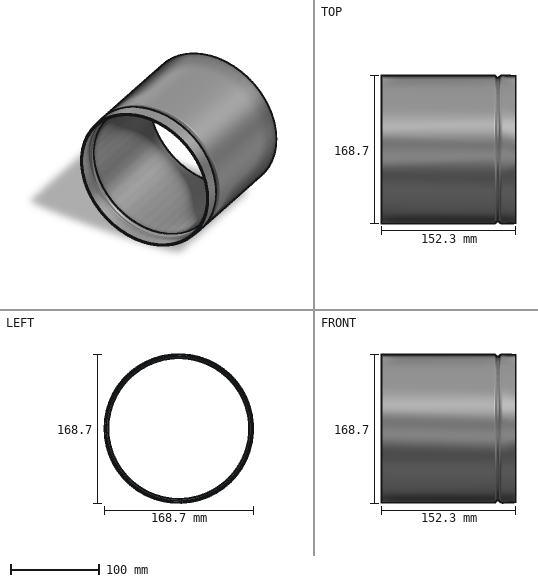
import cadquery as cq
import math

length = 152.3
wall = 2.0
tube_radius = 168.3 / 2
lip_radius = 168.7 / 2
lip_end_radius = 167.3 / 2
groove_radius = 163.3 / 2

tube_shoulder_x = 127.5
lip_shoulder_x = 137.1
tube_flank_angle = math.radians(50)
tube_shoulder_bend = 2.0
tube_root_bend = 0.8
lip_flank_width = 4.9
lip_root_bend = 1.7

tube_bend_total = tube_shoulder_bend + tube_root_bend
tube_bend_drop = tube_bend_total * (1 - math.cos(tube_flank_angle))
tube_straight_drop = tube_radius - groove_radius - tube_bend_drop
tube_straight_width = tube_straight_drop / math.tan(tube_flank_angle)
tube_flank_width = tube_bend_total * math.sin(tube_flank_angle) + tube_straight_width

lip_flank_height = lip_radius - groove_radius
lip_flank_angle = 2 * math.atan2(lip_flank_height, lip_flank_width)
lip_shoulder_bend = lip_flank_width / math.sin(lip_flank_angle) - lip_root_bend


def add_bend(profile, centre, bend_radius, start, end, starts_here=False):
    """Run straight to the start of a bend, unless the profile already starts here, and follow its arc.

    The centre is (x, radius from the tube axis). Angles turn from the outward radial direction toward +X.
    """
    first, middle, last = [
        (centre[0] + bend_radius * math.sin(angle), centre[1] + bend_radius * math.cos(angle))
        for angle in (start, (start + end) / 2, end)
    ]
    if not starts_here:
        profile = profile.lineTo(*first)
    return profile.threePointArc(middle, last)


def revolved_body(depth):
    """Solid bounded by the wall surface lying at the given depth below the outside of the tube."""
    profile = cq.Workplane("XY").lineTo(0, tube_radius - depth)

    shoulder_x = tube_shoulder_x - depth * math.tan(tube_flank_angle / 2)
    shoulder_centre = (shoulder_x, tube_radius - depth - tube_shoulder_bend)
    root_centre = (shoulder_x + tube_flank_width, groove_radius - depth + tube_root_bend)
    profile = add_bend(profile, shoulder_centre, tube_shoulder_bend, 0, tube_flank_angle)
    profile = add_bend(profile, root_centre, tube_root_bend, math.pi + tube_flank_angle, math.pi)

    root_centre = (lip_shoulder_x - lip_flank_width, groove_radius + lip_root_bend)
    shoulder_centre = (lip_shoulder_x, lip_radius - lip_shoulder_bend)
    profile = add_bend(profile, root_centre, lip_root_bend + depth, math.pi, math.pi - lip_flank_angle)
    profile = add_bend(
        profile, shoulder_centre, lip_shoulder_bend - depth, -lip_flank_angle, 0, starts_here=True
    )

    profile = profile.lineTo(length, lip_end_radius - depth).lineTo(length, 0).close()
    return profile.revolve(360, (0, 0, 0), (1, 0, 0))


result = revolved_body(0).cut(revolved_body(wall))